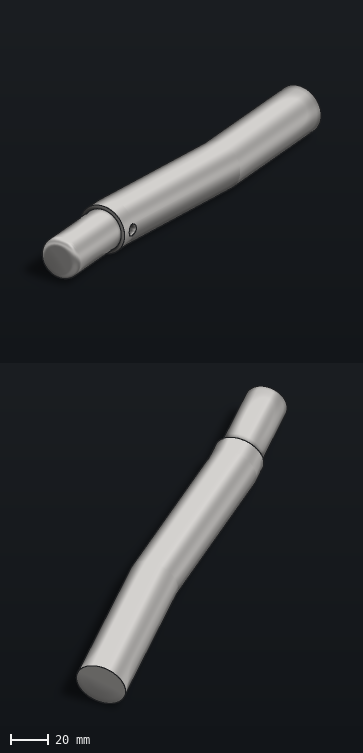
import cadquery as cq
import math

rod_diameter = 28.27
collar_length = 10.0
middle_length = 90.0
upper_length = 80.0
bend_angle = math.radians(7.0)

pin_diameter = 24.0
pin_length = 44.0
tip_fillet = 4.0

side_hole_diameter = 6.78
side_hole_from_shoulder = 8.0
side_hole_depth = rod_diameter / 2

shoulder = (0.0, 0.0)
lower_bend = (0.0, collar_length)
upper_bend = (
    middle_length * math.sin(bend_angle),
    collar_length + middle_length * math.cos(bend_angle),
)
far_end = (upper_bend[0], upper_bend[1] + upper_length)


def make_rod():
    """Round rod along the bent axis, mitred at both bends."""
    axis = cq.Workplane("XY").polyline([shoulder, lower_bend, upper_bend, far_end])
    section = cq.Workplane("XZ").circle(rod_diameter / 2)
    return section.sweep(axis, transition="right")


def make_pin():
    """Thinner pin pointing along -Y from the shoulder, with a rounded tip."""
    pin = cq.Workplane("XZ").circle(pin_diameter / 2).extrude(pin_length)
    return pin.faces("<Y").edges().fillet(tip_fillet)


def make_side_hole():
    """Cutter along X, from the hole floor out past the bent side of the rod."""
    floor_x = rod_diameter / 2 - side_hole_depth
    cutter_length = side_hole_depth + side_hole_diameter
    floor_plane = cq.Workplane("YZ", origin=(floor_x, side_hole_from_shoulder, 0))
    return floor_plane.circle(side_hole_diameter / 2).extrude(cutter_length)


result = make_rod().union(make_pin()).cut(make_side_hole())